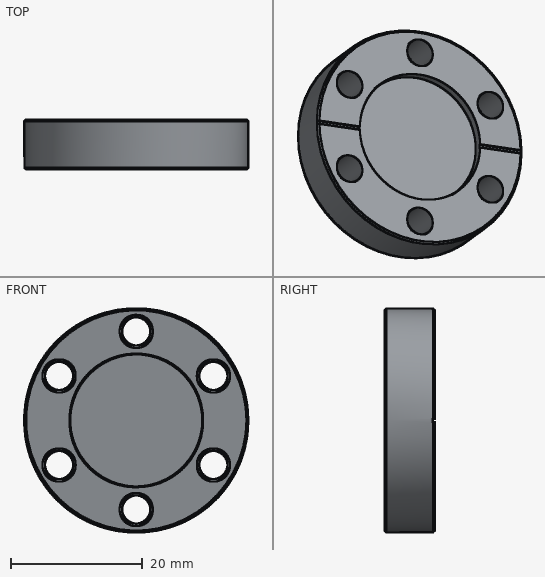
import cadquery as cq

flange_diameter = 34.0
flange_thickness = 7.6
rim_chamfer = 0.3
front_y = -flange_thickness / 2
back_y = flange_thickness / 2

bore_diameter = 20.0
bore_chamfer = 0.15
window_recess = 1.65

groove_width = 0.5
groove_depth = 0.3

bolt_count = 6
bolt_circle_diameter = 27.0
bolt_hole_diameter = 4.25
bolt_hole_chamfer = 0.4


def disc(diameter, start_y, end_y):
    """Cylinder about the Y axis between two Y positions."""
    plane = cq.Workplane("XZ", origin=(0, start_y, 0))
    return plane.circle(diameter / 2).extrude(start_y - end_y)


def front_cone(diameter, chamfer):
    """45-degree countersink cutter opening toward -Y, about the Y axis."""
    radius = diameter / 2
    profile = [
        (0, front_y),
        (radius + chamfer, front_y),
        (radius, front_y + chamfer),
        (0, front_y + chamfer),
    ]
    return cq.Workplane("XY").polyline(profile).close().revolve(360, (0, 0, 0), (0, 1, 0))


def chamfered_bore(diameter, chamfer):
    """Through-hole cutter about the Y axis with a chamfer at the front face."""
    return disc(diameter, front_y, back_y).union(front_cone(diameter, chamfer))


def leak_check_groove():
    """Cutter for the narrow groove that crosses the back face along X."""
    groove = cq.Workplane("XY").box(flange_diameter, groove_depth, groove_width)
    return groove.translate((0, back_y - groove_depth / 2, 0))


def make_flange():
    """Ring with chamfered rims, a window bore, a circle of bolt holes and a leak-check groove."""
    flange = disc(flange_diameter, front_y, back_y).edges().chamfer(rim_chamfer)
    flange = flange.cut(chamfered_bore(bore_diameter, bore_chamfer))
    bolt_hole = chamfered_bore(bolt_hole_diameter, bolt_hole_chamfer)
    bolt_hole = bolt_hole.translate((0, 0, bolt_circle_diameter / 2))
    for index in range(bolt_count):
        angle = index * 360 / bolt_count
        flange = flange.cut(bolt_hole.rotate((0, 0, 0), (0, 1, 0), angle))
    return flange.cut(leak_check_groove())


def make_window():
    """Flat disc in the bore, set back equally from both faces."""
    return disc(bore_diameter, front_y + window_recess, back_y - window_recess)


flange = make_flange()
window = make_window()

result = cq.Compound.makeCompound([flange.val(), window.val()])